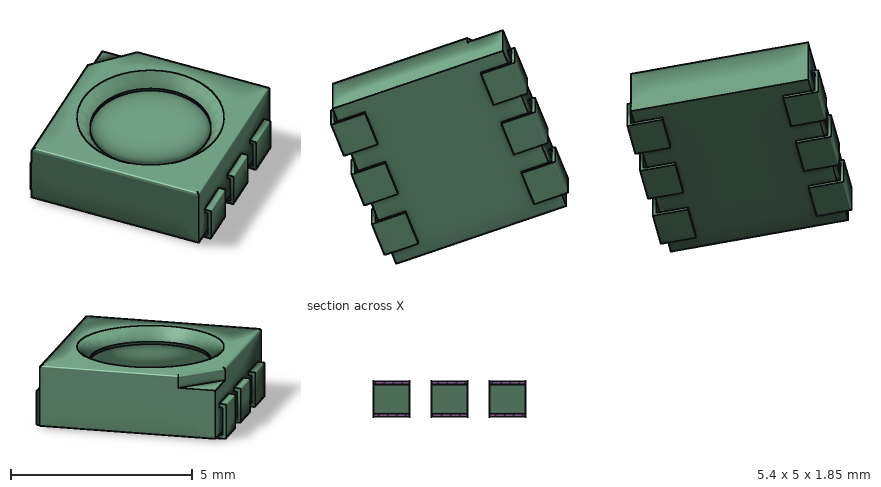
import cadquery as cq

body_side = 5.0
total_height = 1.85
lead_thickness = 0.1
body_height = total_height - lead_thickness
top_edge_radius = 0.09

notch_leg = 1.055
notch_depth = 0.36

cup_top_diameter = 4.05
cup_floor_diameter = 3.33
cone_depth = 0.35
cup_depth = 0.425

overall_width = 5.4
lead_height = 1.0
foot_length = 1.0
lead_width = 1.0
lead_pitch = 1.6
leads_per_side = 3
bend_outer_radius = 0.05
bend_inner_radius = 0.05


def corner_triangle(z, height):
    """Triangular prism filling the -X, +Y corner of the body."""
    half = body_side / 2
    return (
        cq.Workplane("XY", origin=(0, 0, z))
        .moveTo(-half, half)
        .lineTo(-half + notch_leg, half)
        .lineTo(-half, half - notch_leg)
        .close()
        .extrude(height)
    )


def make_body():
    """Block with a notched corner and a rounded top edge."""
    block = cq.Workplane("XY", origin=(0, 0, lead_thickness)).box(
        body_side, body_side, body_height, centered=(True, True, False)
    )
    notch = corner_triangle(total_height - notch_depth, notch_depth)
    return block.cut(notch).faces(">Z").edges().fillet(top_edge_radius)


def make_cup():
    """Solid of revolution that hollows out the reflector cup."""
    top_radius = cup_top_diameter / 2
    floor_radius = cup_floor_diameter / 2
    return (
        cq.Workplane("XZ")
        .moveTo(0, total_height)
        .lineTo(top_radius, total_height)
        .lineTo(floor_radius, total_height - cone_depth)
        .lineTo(floor_radius, total_height - cup_depth)
        .lineTo(0, total_height - cup_depth)
        .close()
        .revolve(360, (0, 0, 0), (0, 1, 0))
    )


def make_lead(y):
    """Bent strip on the -X side, leaving the body wall and folding under it."""
    outer_x = -overall_width / 2
    inner_x = outer_x + lead_thickness
    wall_x = -body_side / 2
    inner_top = lead_height - lead_thickness
    strip = (
        cq.Workplane("XZ", origin=(0, y, 0))
        .moveTo(wall_x, lead_height)
        .lineTo(outer_x, lead_height)
        .lineTo(outer_x, 0)
        .lineTo(outer_x + foot_length, 0)
        .lineTo(outer_x + foot_length, lead_thickness)
        .lineTo(inner_x, lead_thickness)
        .lineTo(inner_x, inner_top)
        .lineTo(wall_x, inner_top)
        .close()
        .extrude(lead_width / 2, both=True)
    )
    strip = strip.edges("|Y and <X").fillet(bend_outer_radius)
    inner_bends = cq.selectors.BoxSelector(
        (inner_x - bend_inner_radius / 2, y - lead_width, lead_thickness / 2),
        (inner_x + bend_inner_radius / 2, y + lead_width, lead_height - lead_thickness / 2),
    )
    return strip.edges("|Y").edges(inner_bends).fillet(bend_inner_radius)


result = make_body().cut(make_cup())
for index in range(leads_per_side):
    lead_y = (index - (leads_per_side - 1) / 2) * lead_pitch
    left_lead = make_lead(lead_y)
    result = result.union(left_lead).union(left_lead.mirror("YZ"))